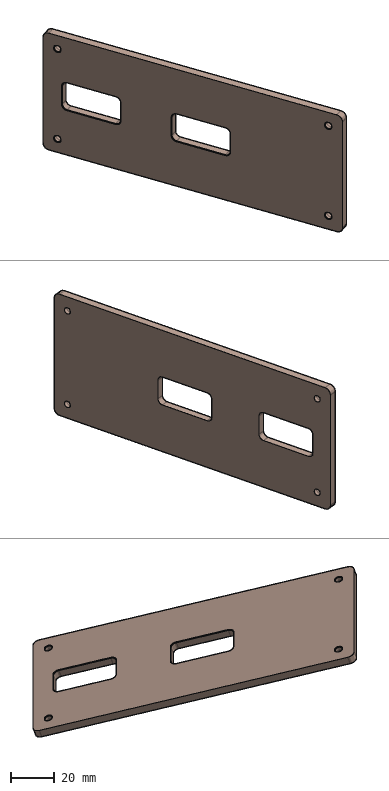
import cadquery as cq

length = 155.0
thickness = 4.0
height = 65.0
corner_diameter = 6.0
corner_radius = corner_diameter / 2

hole_diameter = 3.3
hole_inset = 7.5

window_length = 30.0
window_height = 14.9
window_corner_radius = 2.5
window_centers_x = (-52.5, 4.2)

opening_bevel = 0.3


def rounded_block(block_length, block_height, radius):
    """Block of plate thickness, centered on the origin, with rounded corners."""
    return (
        cq.Workplane("XZ")
        .rect(block_length, block_height)
        .extrude(thickness / 2, both=True)
        .edges("|Y")
        .fillet(radius)
    )


def mounting_holes():
    """Four through-hole cutters on a rectangle inset from the plate edges."""
    return (
        cq.Workplane("XZ")
        .rect(length - 2 * hole_inset, height - 2 * hole_inset, forConstruction=True)
        .vertices()
        .circle(hole_diameter / 2)
        .extrude(thickness, both=True)
    )


plate = rounded_block(length, height, corner_radius).cut(mounting_holes())

for center_x in window_centers_x:
    window = rounded_block(window_length, window_height, window_corner_radius)
    plate = plate.cut(window.translate((center_x, 0, 0)))

front_face = plate.faces("<Y")
opening_edges = [edge for wire in front_face.val().innerWires() for edge in wire.Edges()]
result = plate.newObject(opening_edges).chamfer(opening_bevel)